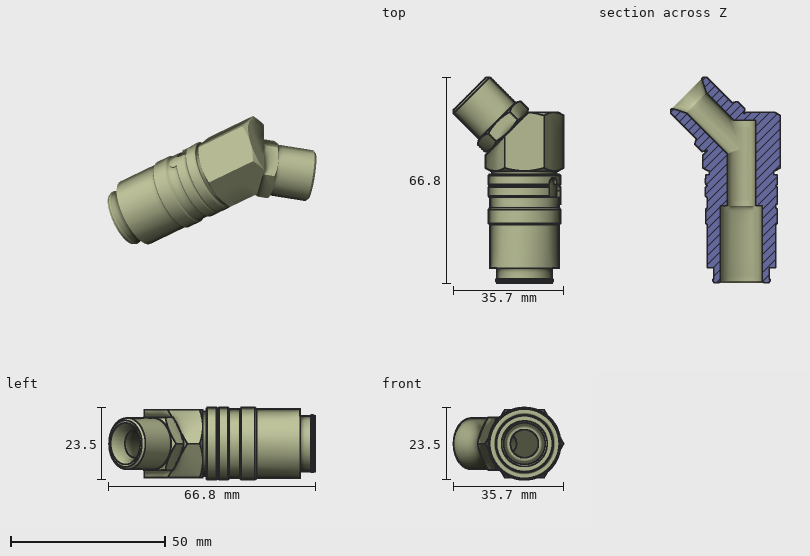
import cadquery as cq
import math


SNOUT_R = 9.05
BEAD_R = 9.35
SLEEVE_R = 11.25
BAND_R = 11.75
NECK_R = 10.55

BEAD_START = 0.4
BEAD_END = 1.45
BEAD_BEVEL = 0.3
SLEEVE_START = 4.87
FRONT_BAND_START = 19.0
FRONT_BAND_END = 24.4
RING_START = 27.83
RING_END = 31.6
REAR_BAND_END = 35.3
BAND_STEP = BAND_R - SLEEVE_R
REAR_BAND_BEVEL = 0.4

BODY_FLATS = 22.0
BODY_START = 36.37
BODY_END = 55.46
BODY_FACE_R = 10.9
CORNER_ANGLE = 30.0

BRANCH_ANGLE = 45.0
BRANCH_Y = 43.83
SEAT_DISTANCE = 7.3
NUT_END = 12.45
NUT_FLATS = 17.1
NUT_FACE_R = 8.45
STUB_END = 25.0
STUB_R = 8.35
STUB_CHAMFER = 0.8
CONE_MOUTH_R = 6.75
CONE_DEPTH = 4.3

PASSAGE_R = 4.55
PASSAGE_END = 52.8
SOCKET_BORE_R = 6.75
SOCKET_BORE_DEPTH = 25.0
SOCKET_MOUTH_R = 7.4

SLOT_ANGLE = 36.5
SLOT_R = 2.15
SLOT_Y = 32.1
SLOT_FLOOR_R = NECK_R
TAB_R = 2.08
TAB_Y = 27.65
TAB_WAIST = 1.2
TAB_WAIST_Y = 30.0
WINDOW_END = RING_END + BAND_STEP

CLEARANCE = 5.0
HEX_SIDES = 6
HEX_MARGIN = 1.0


def turned(points):
    """Solid of revolution about Y from (radius, y) points."""
    return cq.Workplane("XY").polyline(points).close().revolve(360, (0, 0), (0, 1))


def cylinder(radius, start, end):
    return cq.Workplane("XZ", origin=(0, start, 0)).circle(radius).extrude(start - end)


def hexagon(flats, face_r, start, end):
    """Hexagonal prism along Y, corners on X, with turned corner chamfers at both ends."""
    corner_r = flats / (2 * math.cos(math.pi / HEX_SIDES))
    prism = (
        cq.Workplane("XZ", origin=(0, start, 0))
        .polygon(HEX_SIDES, 2 * corner_r)
        .extrude(start - end)
    )
    outer_r = corner_r + HEX_MARGIN
    drop = (outer_r - face_r) * math.tan(math.radians(CORNER_ANGLE))
    envelope = turned([
        (0, start),
        (face_r, start),
        (outer_r, start + drop),
        (outer_r, end - drop),
        (face_r, end),
        (0, end),
    ])
    return prism.intersect(envelope)


def on_branch(shape):
    """Move a shape modelled along +Y onto the branch axis."""
    return shape.rotate((0, 0, 0), (0, 0, 1), BRANCH_ANGLE).translate((0, BRANCH_Y, 0))


def socket():
    return turned([
        (0, 0),
        (SNOUT_R, 0),
        (SNOUT_R, BEAD_START),
        (BEAD_R, BEAD_START + BEAD_BEVEL),
        (BEAD_R, BEAD_END - BEAD_BEVEL),
        (SNOUT_R, BEAD_END),
        (SNOUT_R, SLEEVE_START),
        (SLEEVE_R, SLEEVE_START),
        (SLEEVE_R, FRONT_BAND_START),
        (BAND_R, FRONT_BAND_START + BAND_STEP),
        (BAND_R, FRONT_BAND_END - BAND_STEP),
        (SLEEVE_R, FRONT_BAND_END),
        (SLEEVE_R, RING_START),
        (BAND_R, RING_START + BAND_STEP),
        (BAND_R, RING_END - BAND_STEP),
        (SLEEVE_R, RING_END),
        (BAND_R, RING_END + BAND_STEP),
        (BAND_R, REAR_BAND_END - REAR_BAND_BEVEL),
        (BAND_R - REAR_BAND_BEVEL, REAR_BAND_END),
        (NECK_R, REAR_BAND_END),
        (NECK_R, BODY_START),
        (0, BODY_START),
    ])


def tab_prism():
    """Tab outline swept outward along X: round bulb ahead, narrowing to a waist behind."""
    return (
        cq.Workplane("YZ")
        .moveTo(TAB_Y, TAB_R)
        .threePointArc((TAB_Y - TAB_R, 0), (TAB_Y, -TAB_R))
        .lineTo(TAB_WAIST_Y, -TAB_WAIST)
        .lineTo(WINDOW_END, -TAB_WAIST)
        .lineTo(WINDOW_END, TAB_WAIST)
        .lineTo(TAB_WAIST_Y, TAB_WAIST)
        .close()
        .extrude(BAND_R + CLEARANCE)
    )


def bayonet_cut():
    """Round-ended slot in the rear band plus the cleared ring between slot and tab."""
    reach = BAND_R + CLEARANCE
    slot_end = cq.Workplane("YZ").center(SLOT_Y, 0).circle(SLOT_R).extrude(reach)
    length = WINDOW_END - RING_START
    strip = cq.Workplane("XY").box(reach, length, 2 * SLOT_R, centered=(False, False, True))
    strip = strip.translate((0, RING_START, 0))
    slot = slot_end.union(strip).rotate((0, 0, 0), (0, 1, 0), -SLOT_ANGLE)

    slot_slope = math.tan(math.radians(SLOT_ANGLE))
    sector = (
        cq.Workplane("XZ", origin=(0, RING_START, 0))
        .polyline([(0, 0), (reach, 0), (reach, reach * slot_slope)])
        .close()
        .extrude(-length)
    )
    floor = cylinder(SLOT_FLOOR_R, 0, BODY_START)
    return slot.union(sector.cut(tab_prism())).cut(floor)


def locking_tab():
    """Part of the tab that hangs from the ring over the groove ahead of it, on +X."""
    overhang = cylinder(BAND_R, TAB_Y - TAB_R - CLEARANCE, RING_START + BAND_STEP)
    inside = cylinder(SLOT_FLOOR_R, 0, BODY_START)
    return tab_prism().intersect(overhang).cut(inside)


def elbow_body():
    """Hexagonal body cut off by the inclined seat of the branch nut."""
    body = hexagon(BODY_FLATS, BODY_FACE_R, BODY_START, BODY_END)
    size = 2 * BODY_END
    beyond_seat = cq.Workplane("XY").box(size, size, size, centered=(True, False, True))
    return body.cut(on_branch(beyond_seat.translate((0, SEAT_DISTANCE, 0))))


def branch():
    nut = hexagon(NUT_FLATS, NUT_FACE_R, SEAT_DISTANCE, NUT_END)
    stub = turned([
        (0, SEAT_DISTANCE),
        (STUB_R, SEAT_DISTANCE),
        (STUB_R, STUB_END - STUB_CHAMFER),
        (STUB_R - STUB_CHAMFER, STUB_END),
        (0, STUB_END),
    ])
    return on_branch(nut.union(stub))


def socket_bore():
    mouth_bevel = SOCKET_MOUTH_R - SOCKET_BORE_R
    return turned([
        (0, 0),
        (SOCKET_MOUTH_R, 0),
        (SOCKET_BORE_R, mouth_bevel),
        (SOCKET_BORE_R, SOCKET_BORE_DEPTH),
        (PASSAGE_R, SOCKET_BORE_DEPTH),
        (PASSAGE_R, PASSAGE_END),
        (0, PASSAGE_END),
    ])


def branch_bore():
    return on_branch(turned([
        (0, 0),
        (PASSAGE_R, 0),
        (PASSAGE_R, STUB_END - CONE_DEPTH),
        (CONE_MOUTH_R, STUB_END),
        (0, STUB_END),
    ]))


outside = socket().cut(bayonet_cut()).union(locking_tab()).union(elbow_body()).union(branch())
result = outside.cut(socket_bore()).cut(branch_bore())